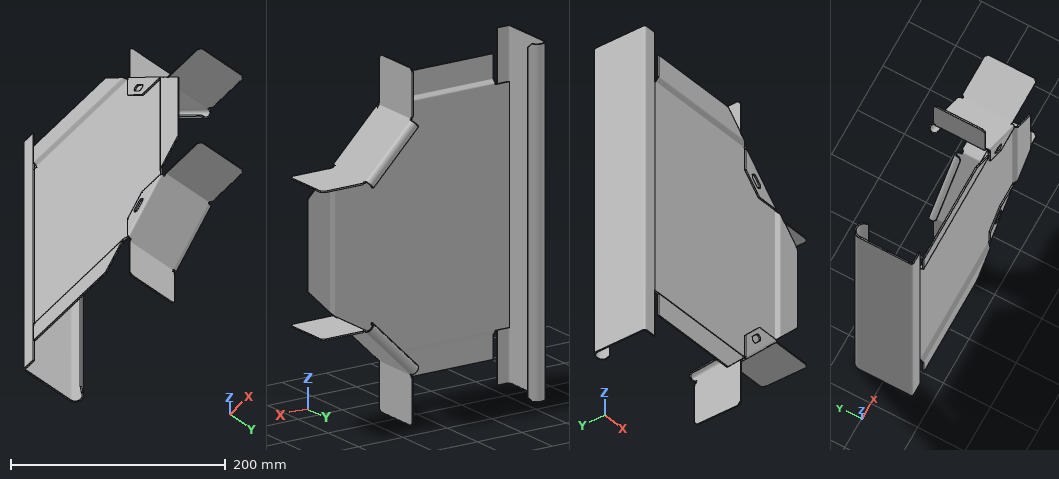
import cadquery as cq
import math


sheet = 1.5
bend_outer = 2.28
bend_inner = bend_outer - sheet

tray_length = 350.0
total_height = 67.0
foot_bottom = 2.0
plate_bottom = foot_bottom + sheet
plate_top = plate_bottom + sheet

hook_radius = 8.0
hook_base = total_height - hook_radius
hook_end_angle = math.radians(35)
hook_tail = 6.0
hook_corner = 4.0
inner_hook_radius = 5.5
inner_hook_end_angle = 0.0
inner_hook_tail = 2.8
inner_hook_corner = 2.5

side_foot = 14.7

connector_foot = 20.0
wing_x = 149.8
wing_z = 73.0
wing_end_x = 251.0
wing_bottom = 6.3
wing_top = 61.0
wing_corner = 3.0
wing_relief = 2.0
diagonal_sum = 275.0
foot_clearance = 1.8
slot_length = 14.7
slot_width = 7.0
slot_depth_in = 12.2

plate_half_z = 120.5
plate_end_x = 197.0
tab_reach = 29.5
tab_start_x = 18.0

half_length = tray_length / 2
corner_z = diagonal_sum - wing_x
corner_x = diagonal_sum - wing_z
diagonal_length = math.hypot(corner_x - wing_x, corner_z - wing_z)
turn = math.radians(45)
half_turn = turn / 2
mitre = math.tan(half_turn)
bend_setback = bend_outer * mitre


def round_edges(body, bends):
    """Fillet the edge nearest to each (point, radius) of bends."""
    for point, radius in bends:
        body = body.edges(cq.selectors.NearestToPointSelector(point)).fillet(radius)
    return body


def folded_sheet(foot, length, radius, end_angle, tail, corner):
    """Foot, bend, upright wall and rolled hook; depth runs along X, length along Z from 0."""

    def on_arc(arc_radius, angle):
        return (radius + arc_radius * math.cos(angle), hook_base + arc_radius * math.sin(angle))

    def tail_end(arc_radius):
        x, y = on_arc(arc_radius, end_angle)
        return (x + tail * math.sin(end_angle), y - tail * math.cos(end_angle))

    inner = radius - sheet
    arc_middle = (math.pi + end_angle) / 2
    diagonal = math.sqrt(0.5)
    bend_y = foot_bottom + bend_outer
    section = (
        cq.Workplane("XY")
        .moveTo(foot, foot_bottom)
        .lineTo(bend_outer, foot_bottom)
        .threePointArc(
            (bend_outer * (1 - diagonal), bend_y - bend_outer * diagonal), (0, bend_y)
        )
        .lineTo(0, hook_base)
        .threePointArc(on_arc(radius, arc_middle), on_arc(radius, end_angle))
        .lineTo(*tail_end(radius))
        .lineTo(*tail_end(inner))
        .lineTo(*on_arc(inner, end_angle))
        .threePointArc(on_arc(inner, arc_middle), (sheet, hook_base))
        .lineTo(sheet, bend_y)
        .threePointArc(
            (bend_outer - bend_inner * diagonal, bend_y - bend_inner * diagonal),
            (bend_outer, plate_bottom),
        )
        .lineTo(foot, plate_bottom)
        .close()
    )
    body = section.extrude(length)

    tip_x, tip_y = tail_end(radius - sheet / 2)
    for end_z in (0, length):
        tip_edge = cq.selectors.NearestToPointSelector((tip_x, tip_y, end_z))
        body = body.edges(tip_edge).chamfer(corner)
    return body


def make_side_wall():
    wall = folded_sheet(
        side_foot, tray_length, hook_radius, hook_end_angle, hook_tail, hook_corner
    )
    return wall.translate((0, 0, -half_length))


def joggled_tab(start, width):
    """Tab along X from the floor edge at start, stepped down to y = 0; width runs along Z from 0."""
    end = start + tab_reach
    flat_start = start + (bend_inner + bend_outer) * mitre + plate_bottom / math.tan(turn)

    def down_bend(radius, angle):
        center_y = plate_bottom - bend_inner
        return (start + radius * math.sin(angle), center_y + radius * math.cos(angle))

    def flat_bend(radius, angle):
        return (flat_start - radius * math.sin(angle), bend_outer - radius * math.cos(angle))

    return (
        cq.Workplane("XY")
        .moveTo(*down_bend(bend_inner, 0))
        .threePointArc(down_bend(bend_inner, half_turn), down_bend(bend_inner, turn))
        .lineTo(*flat_bend(bend_outer, turn))
        .threePointArc(flat_bend(bend_outer, half_turn), flat_bend(bend_outer, 0))
        .lineTo(end, 0)
        .lineTo(end, sheet)
        .lineTo(*flat_bend(bend_inner, 0))
        .threePointArc(flat_bend(bend_inner, half_turn), flat_bend(bend_inner, turn))
        .lineTo(*down_bend(bend_outer, turn))
        .threePointArc(down_bend(bend_outer, half_turn), down_bend(bend_outer, 0))
        .close()
        .extrude(width)
    )


def make_base_plate():
    end_z = plate_half_z + tab_reach
    end_x = plate_end_x + tab_reach
    floor = (
        cq.Workplane("XY")
        .box(plate_end_x - bend_outer, sheet, 2 * plate_half_z, centered=(False, False, True))
        .translate((bend_outer, plate_bottom, 0))
    )
    end_tab = joggled_tab(plate_end_x, tray_length).translate((0, 0, -half_length))
    upper_tab = (
        joggled_tab(plate_half_z, end_x - tab_start_x)
        .rotate((0, 0, 0), (0, 1, 0), -90)
        .translate((end_x, 0, 0))
    )
    plate = floor.union(upper_tab).union(upper_tab.mirror("XY")).union(end_tab)

    trim_sum = diagonal_sum - bend_outer * math.sqrt(2)
    outline = (
        cq.Workplane("XZ", origin=(0, total_height, 0))
        .polyline(
            [
                (0, -end_z),
                (trim_sum - end_z, -end_z),
                (end_x, end_x - trim_sum),
                (end_x, trim_sum - end_x),
                (trim_sum - end_z, end_z),
                (0, end_z),
            ]
        )
        .close()
        .extrude(total_height)
    )
    return plate.intersect(outline)


def make_diagonal_wall():
    """Straight part of the connector between its two wing bends, with foot, slot and hook."""
    frame = cq.Plane(
        origin=(wing_x, 0, corner_z), xDir=(-1, 0, -1), normal=(1, 0, -1)
    )
    folded = folded_sheet(
        connector_foot,
        diagonal_length - 2 * bend_setback,
        inner_hook_radius,
        inner_hook_end_angle,
        inner_hook_tail,
        inner_hook_corner,
    )
    slot = (
        cq.Workplane("XZ", origin=(slot_depth_in, plate_bottom, diagonal_length / 2 - bend_setback))
        .slot2D(slot_length, slot_width, 90)
        .extrude(sheet)
    )
    wall = folded.cut(slot).translate((0, 0, bend_setback))
    wall = cq.Workplane(wall.val().moved(cq.Location(frame)))

    foot_region = cq.Workplane("XY").box(
        tray_length, wing_bottom, tray_length, centered=False
    ).translate((wing_x + foot_clearance, 0, wing_z + foot_clearance))
    upper_region = cq.Workplane("XY").box(
        tray_length, total_height, tray_length, centered=False
    ).translate((0, wing_bottom, 0))
    return wall.intersect(foot_region.union(upper_region))


def make_wings():
    """Upright strip bent twice: wing along Z, diagonal, wing along X."""
    inner_shift = sheet * mitre
    inner_x = wing_x - sheet
    inner_z = wing_z - sheet
    strip = (
        cq.Workplane("XZ", origin=(0, wing_top, 0))
        .polyline(
            [
                (wing_x, half_length),
                (wing_x, corner_z),
                (corner_x, wing_z),
                (wing_end_x, wing_z),
                (wing_end_x, inner_z),
                (corner_x - inner_shift, inner_z),
                (inner_x, corner_z - inner_shift),
                (inner_x, half_length),
            ]
        )
        .close()
        .extrude(wing_top - wing_bottom)
    )
    middle_y = (wing_top + wing_bottom) / 2
    strip = round_edges(
        strip,
        [
            ((wing_x, middle_y, corner_z), bend_inner),
            ((corner_x, middle_y, wing_z), bend_inner),
            ((inner_x, middle_y, corner_z - inner_shift), bend_outer),
            ((corner_x - inner_shift, middle_y, inner_z), bend_outer),
        ],
    )

    strip = strip.faces(">Z").edges("|X").chamfer(wing_corner)
    strip = strip.faces(">X").edges("|Z").chamfer(wing_corner)

    wing_start_x = corner_x + bend_setback
    wing_start_z = corner_z + bend_setback
    upper_wing_cut = (
        cq.Workplane("YZ", origin=(inner_x, 0, 0))
        .polyline(
            [
                (hook_base, 0),
                (hook_base, wing_start_z),
                (wing_top, wing_start_z + wing_relief),
                (wing_top, 0),
            ]
        )
        .close()
        .extrude(wing_start_x - inner_x)
    )
    end_wing_cut = (
        cq.Workplane("XY")
        .polyline(
            [
                (corner_x, hook_base),
                (wing_start_x, hook_base),
                (wing_start_x + wing_relief, wing_top),
                (corner_x, wing_top),
            ]
        )
        .close()
        .extrude(half_length)
    )
    return strip.cut(upper_wing_cut).cut(end_wing_cut)


def make_connector():
    return make_diagonal_wall().union(make_wings())


side_wall = make_side_wall()
base_plate = make_base_plate()
upper_connector = make_connector()
connectors = [upper_connector, upper_connector.mirror("XY")]

bodies = [side_wall, base_plate, *connectors]
result = cq.Compound.makeCompound([body.solids().val() for body in bodies])